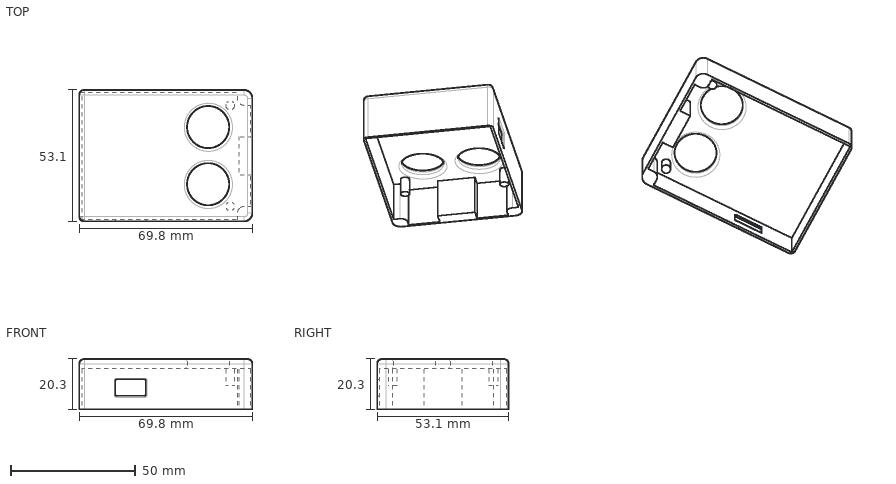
import cadquery as cq

length = 69.85
width = 53.1
height = 20.3
wall = 1.0
ceiling_thickness = 3.8
top_rounding = 2.0
left_corner_radius = 2.0
right_corner_radius = 3.5

opening_diameter = 16.9
opening_x = 52.0
opening_y = 11.5
opening_rounding = 1.25

window_left = 14.5
window_bottom = 5.45
window_length = 12.3
window_height = 6.65
window_corner_radius = 0.55
window_rounding = 0.5

corner_block_radius = 2.65
corner_center_x = length - right_corner_radius
corner_center_y = width / 2 - right_corner_radius
post_diameter = 3.55
post_offset = 8.8
post_bottom = 9.7
pillar_depth = 5.6
pillar_width = 15.3

ceiling_z = height - ceiling_thickness
half_width = width / 2


def box(x_min, x_max, y_min, y_max, z_min, z_max):
    """Block given by its limits along each axis."""
    return (
        cq.Workplane("XY")
        .box(x_max - x_min, y_max - y_min, z_max - z_min, centered=False)
        .translate((x_min, y_min, z_min))
    )


def make_outer_body():
    """Solid outer form with rounded upright corners and a rounded top edge."""
    body = box(0, length, -half_width, half_width, 0, height)
    body = body.edges("|Z and <X").fillet(left_corner_radius)
    body = body.edges("|Z and >X").fillet(right_corner_radius)
    return body.faces(">Z").edges().fillet(top_rounding)


def make_corner_block(side):
    """Rounded block filling one right-hand corner of the cavity; side is +1 or -1 in Y."""
    block = box(
        corner_center_x - corner_block_radius, length,
        corner_center_y - corner_block_radius, half_width,
        0, ceiling_z,
    )
    block = block.edges("|Z and <X and <Y").fillet(corner_block_radius)
    return block if side > 0 else block.mirror("XZ")


def make_post(side):
    """Round post hanging from the ceiling, diagonally outward from a top opening."""
    return (
        cq.Workplane("XY", origin=(opening_x + post_offset, side * (opening_y + post_offset), post_bottom))
        .circle(post_diameter / 2)
        .extrude(ceiling_z - post_bottom)
    )


def make_cavity():
    """Inside space, less the supports that stand in it."""
    cavity = box(wall, length - wall, wall - half_width, half_width - wall, 0, ceiling_z)
    for side in (-1, 1):
        cavity = cavity.cut(make_corner_block(side))
        cavity = cavity.cut(make_post(side))
    pillar = box(length - pillar_depth, length, -pillar_width / 2, pillar_width / 2, 0, ceiling_z)
    return cavity.cut(pillar)


def make_opening(side):
    """Round top opening whose upper and lower rims are rounded outward."""
    radius = opening_diameter / 2
    flare_radius = radius + opening_rounding
    profile = (
        cq.Workplane("XZ")
        .moveTo(0, ceiling_z)
        .lineTo(flare_radius, ceiling_z)
        .radiusArc((radius, ceiling_z + opening_rounding), opening_rounding)
        .lineTo(radius, height - opening_rounding)
        .radiusArc((flare_radius, height), opening_rounding)
        .lineTo(0, height)
        .close()
    )
    opening = profile.revolve(360, (0, 0, 0), (0, 1, 0))
    return opening.translate((opening_x, side * opening_y, 0))


def make_window():
    """Window through the front wall, with rounded corners."""
    window = box(
        window_left, window_left + window_length,
        -half_width, wall - half_width,
        window_bottom, window_bottom + window_height,
    )
    return window.edges("|Y").fillet(window_corner_radius)


body = make_outer_body().cut(make_cavity())
for side in (-1, 1):
    body = body.cut(make_opening(side))
body = body.cut(make_window())

front_y = -half_width
rim_zone = cq.selectors.BoxSelector(
    (window_left - wall, front_y - wall / 4, window_bottom - wall),
    (window_left + window_length + wall, front_y + wall / 4, window_bottom + window_height + wall),
)
result = body.edges(rim_zone).fillet(window_rounding)